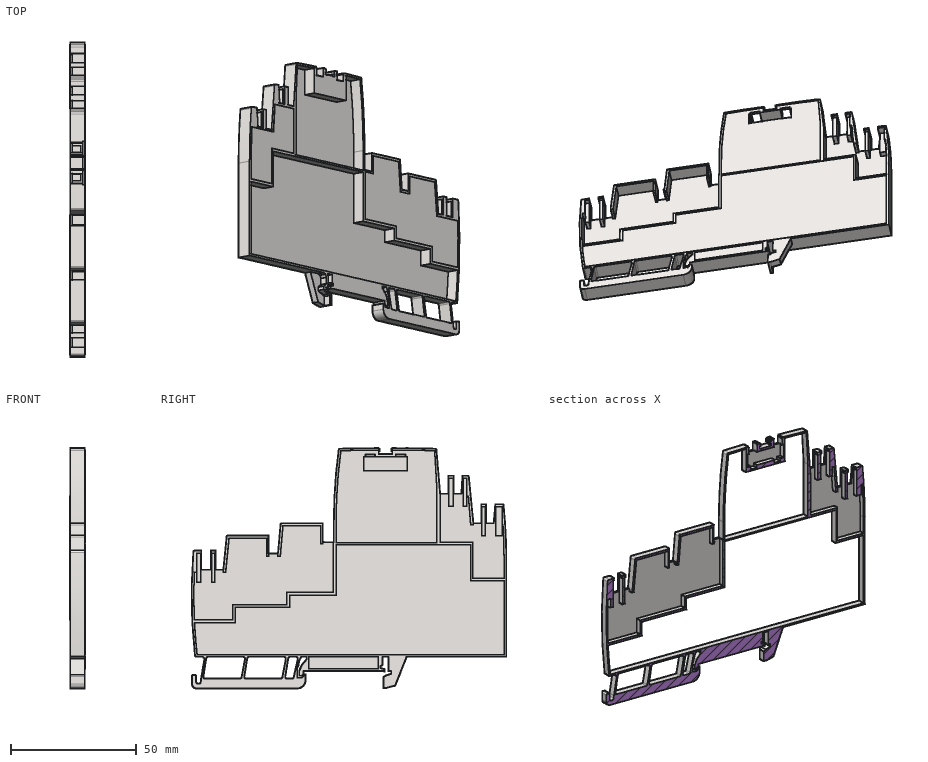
import cadquery as cq
import math

THICKNESS = 6.1
LENGTH = 125.07
HEIGHT = 95.74

PANEL_PROUD = 0.1
PLATE = 1.0
FRONT = -THICKNESS / 2
BACK = THICKNESS / 2
RIM_FRONT = FRONT + PANEL_PROUD
RIM_BACK = BACK - PANEL_PROUD
PLATE_FRONT = FRONT + PLATE
PLATE_BACK = BACK - PLATE

BASE = 12.6
WALL = 0.85
END_WALL = 0.95
FLANK_RADIUS = 215.0
CORNER = 0.7
VALLEY_FILLET = 0.4

LEFT_BOW_V = 51.0
RIGHT_BOW_V = 37.0
TOWER_RIGHT = 68.6
TOWER_BOW_V = 66.0

TOWER_LEFT_FOOT = 26.3
TOWER_LEFT_TOP = 27.8
TOWER_TOP = 95.3
TOWER_CROWN_U = 47.1
TOWER_CROWN_V = 95.6
TOWER_FLOOR = 57.85
TOWER_POCKET_LEFT = 27.7
TOWER_POCKET_BEND = 80.7
TOWER_POCKET_TOP_LEFT = 28.5

LOW_LEFT_PANEL = 65.0
HIGH_LEFT_PANEL = 76.3
RIGHT_PANEL = 46.2
LOW_LEFT_TOP = 73.3
LOW_LEFT_FLOOR = 65.75
HIGH_LEFT_TOP = 84.6
HIGH_LEFT_FLOOR = 77.4
HIGH_LEFT_EDGE = 14.95
LOW_LEFT_FLANK = 13.1
RIGHT_FLOOR = 47.3
RIGHT_TOP = 54.85
SHOULDER_1 = (72.9, 89.7, 65.75)
SHOULDER_2 = (94.4, 111.1, 60.85)
VALLEY_1 = 58.2
VALLEY_2 = 53.7
UNDER_VALLEY_1 = 57.45
UNDER_VALLEY_2 = 52.6
SHOULDER_1_FOOT = 90.75
SHOULDER_2_FOOT = 112.45

PARTITION = 1.1
LEFT_PARTITION = 0.75
PANEL_TOP_WALL = 1.1
PANEL_SIDE_WALL = 0.75
LEFT_PANEL_FLOOR = 43.85
LEFT_PANEL_RIGHT = 26.2
LEFT_STEP_U = 13.35
LEFT_STEP_V = 58.2
HIGH_LEFT_PANEL_EDGE = 15.1
RIGHT_STEPS = ((68.75, 38.25), (87.2, 33.35), (108.7, 27.3))

HEAD_LEFT = 38.6
HEAD_RIGHT = 57.45
HEAD_FLOOR = 84.6
WINDOWS = ((40.1, 43.9), (52.2, 55.95))
WINDOW_FLOOR = 92.1
BAR_BOTTOM = 92.9
WINDOW_CHAMFER = 0.35
BAR_SET_DOWN = 0.12
GROOVE_LEFT = 45.4
GROOVE_RIGHT = 50.7
GROOVE_FLOOR = 93.25
LIP_LEFT = 45.8
LIP_RIGHT = 50.3
LIP_UNDERSIDE = 94.2
LIP_TOP = 95.2
LIP_BEVEL = 0.65
LIP_BEVEL_TOP = 95.5
LIP_PEAK = 44.8
CAVITY_FLOOR = 86.6
SOCKETS = ((41.1, 43.7), (52.4, 55.1))
SOCKET_FLOOR = HEAD_FLOOR + WALL
SOCKET_BACK = 1.35


def prism(outline, x_from, x_to):
    """Extrude a (u, v) outline, a list of corners or a function that draws it, between two X positions."""
    plane = cq.Plane(origin=(x_to, LENGTH / 2, -HEIGHT / 2), xDir=(0, -1, 0), normal=(-1, 0, 0))
    depth = x_to - x_from
    if isinstance(outline, list):
        return cq.Workplane(plane).polyline(outline).close().extrude(depth)
    return outline(cq.Workplane(plane)).close().extrude(depth)


def block(u_from, u_to, v_from, v_to, x_from, x_to):
    corners = [(u_from, v_from), (u_to, v_from), (u_to, v_to), (u_from, v_to)]
    return prism(corners, x_from, x_to)


def bow(height_from_tangent):
    """How far a bowed flank has leaned inward at a height from its tangent point."""
    return FLANK_RADIUS - math.sqrt(FLANK_RADIUS**2 - height_from_tangent**2)


def left_flank(v):
    return bow(v - LEFT_BOW_V)


def right_flank(v, inset=0.0):
    return LENGTH - inset - bow(v - RIGHT_BOW_V)


def tower_flank(v, inset=0.0):
    return TOWER_RIGHT - inset - bow(v - TOWER_BOW_V)


def round_corners(solid, corners, radius):
    """Fillet the edges along X that pass through the given (u, v) corners."""
    for u, v in corners:
        nearest = cq.NearestToPointSelector((0, LENGTH / 2 - u, v - HEIGHT / 2))
        solid = solid.edges("|X").edges(nearest).fillet(radius)
    return solid


LOW_LEFT_TEETH = dict(
    pillar_top=4.45, pillar_foot=5.1, finger_near=8.1, finger_far=10.05, flank=LOW_LEFT_FLANK,
    top=LOW_LEFT_TOP, floor=LOW_LEFT_FLOOR, panel=LOW_LEFT_PANEL, pillar_rib=2.4, pillar_reach=2.1,
)
HIGH_LEFT_TEETH = dict(
    pillar_top=17.5, pillar_foot=17.95, finger_near=20.9, finger_far=23.2, flank=TOWER_LEFT_FOOT,
    top=HIGH_LEFT_TOP, floor=HIGH_LEFT_FLOOR, panel=HIGH_LEFT_PANEL, pillar_rib=1.5, pillar_reach=3.4,
)
RIGHT_TEETH = dict(
    pillar_top=121.1, pillar_foot=121.1, finger_near=117.4, finger_far=115.45, flank=SHOULDER_2_FOOT,
    top=RIGHT_TOP, floor=RIGHT_FLOOR, panel=RIGHT_PANEL, pillar_rib=1.5, pillar_reach=3.4,
)
CAP = 1.0
SIDE_RELIEF = 0.3
FINGER_REACH = 4.0
RIB_DROP = 5.0


def body_outline(wp):
    """Outline of the body with sharp corners; the first slot of each tooth group is cut later."""
    middle = (LEFT_BOW_V + LOW_LEFT_TOP) / 2
    wp = wp.moveTo(0, BASE).lineTo(0, LEFT_BOW_V)
    wp = wp.threePointArc((left_flank(middle), middle), (left_flank(LOW_LEFT_TOP), LOW_LEFT_TOP))
    low_finger = LOW_LEFT_TEETH["finger_far"]
    wp = wp.lineTo(low_finger, LOW_LEFT_TOP).lineTo(low_finger, LOW_LEFT_FLOOR)
    wp = wp.lineTo(LOW_LEFT_FLANK, LOW_LEFT_FLOOR).lineTo(HIGH_LEFT_EDGE, HIGH_LEFT_TOP)
    high_finger = HIGH_LEFT_TEETH["finger_far"]
    wp = wp.lineTo(high_finger, HIGH_LEFT_TOP).lineTo(high_finger, HIGH_LEFT_FLOOR)
    middle = (TOWER_TOP + TOWER_BOW_V) / 2
    wp = wp.lineTo(TOWER_LEFT_FOOT, HIGH_LEFT_FLOOR).lineTo(TOWER_LEFT_TOP, TOWER_TOP)
    wp = wp.threePointArc((TOWER_CROWN_U, TOWER_CROWN_V), (tower_flank(TOWER_TOP), TOWER_TOP))
    wp = wp.threePointArc((tower_flank(middle), middle), (TOWER_RIGHT, TOWER_BOW_V))
    wp = wp.lineTo(TOWER_RIGHT, VALLEY_1)
    for (left, right, top), foot, floor, next_floor in (
        (SHOULDER_1, SHOULDER_1_FOOT, VALLEY_1, VALLEY_2),
        (SHOULDER_2, SHOULDER_2_FOOT, VALLEY_2, RIGHT_FLOOR),
    ):
        wp = wp.lineTo(left, floor).lineTo(left, top).lineTo(right, top).lineTo(foot, next_floor)
    right_finger = RIGHT_TEETH["finger_far"]
    wp = wp.lineTo(right_finger, RIGHT_FLOOR).lineTo(right_finger, RIGHT_TOP)
    wp = wp.lineTo(right_flank(RIGHT_TOP), RIGHT_TOP)
    return wp.threePointArc((LENGTH, RIGHT_BOW_V), (right_flank(BASE), BASE))


def body_blank():
    blank = prism(body_outline, RIM_FRONT, RIM_BACK)
    outer_corners = [
        (left_flank(LOW_LEFT_TOP), LOW_LEFT_TOP),
        (HIGH_LEFT_EDGE, HIGH_LEFT_TOP),
        (TOWER_LEFT_TOP, TOWER_TOP),
        (tower_flank(TOWER_TOP), TOWER_TOP),
        SHOULDER_1[1:],
        SHOULDER_2[1:],
        (right_flank(RIGHT_TOP), RIGHT_TOP),
        (right_flank(BASE), BASE),
    ]
    valley_corners = [(SHOULDER_1[0], VALLEY_1), (SHOULDER_1_FOOT, VALLEY_2)]
    blank = round_corners(blank, outer_corners, CORNER)
    return round_corners(blank, valley_corners, VALLEY_FILLET)


def main_panel(wp):
    """Large lower pocket, stepped along the undersides of the two side panels."""
    floor = BASE + WALL
    left_step = LEFT_STEP_U + LEFT_PARTITION
    wp = wp.moveTo(END_WALL, floor).lineTo(END_WALL, LEFT_PANEL_FLOOR - PARTITION)
    wp = wp.lineTo(left_step, LEFT_PANEL_FLOOR - PARTITION).lineTo(left_step, LEFT_STEP_V - PARTITION)
    top = LEFT_STEP_V - PARTITION
    for step_u, step_v in RIGHT_STEPS:
        wp = wp.lineTo(step_u - PARTITION, top)
        top = step_v - PARTITION
        wp = wp.lineTo(step_u - PARTITION, top)
    wp = wp.lineTo(right_flank(top, END_WALL), top)
    middle = (top + floor) / 2
    return wp.threePointArc((right_flank(middle, END_WALL), middle), (right_flank(floor, END_WALL), floor))


def tower_panel(wp):
    top = TOWER_TOP - WALL
    right = TOWER_RIGHT - END_WALL
    middle = (top + TOWER_BOW_V) / 2
    wp = wp.moveTo(TOWER_POCKET_LEFT, TOWER_FLOOR).lineTo(TOWER_POCKET_LEFT, TOWER_POCKET_BEND)
    wp = wp.lineTo(TOWER_POCKET_TOP_LEFT, top)
    wp = wp.threePointArc((TOWER_CROWN_U, TOWER_CROWN_V - WALL), (tower_flank(top, END_WALL), top))
    wp = wp.threePointArc((tower_flank(middle, END_WALL), middle), (right, TOWER_BOW_V))
    return wp.lineTo(right, TOWER_FLOOR)


def left_panel(wp):
    """L-shaped panel below the two left steps."""
    middle = (LEFT_BOW_V + LOW_LEFT_PANEL) / 2
    wp = wp.moveTo(END_WALL, LEFT_PANEL_FLOOR).lineTo(END_WALL, LEFT_BOW_V)
    wp = wp.threePointArc(
        (left_flank(middle) + END_WALL, middle), (left_flank(LOW_LEFT_PANEL) + END_WALL, LOW_LEFT_PANEL)
    )
    wp = wp.lineTo(LOW_LEFT_FLANK + PANEL_TOP_WALL, LOW_LEFT_PANEL)
    wp = wp.lineTo(HIGH_LEFT_PANEL_EDGE, HIGH_LEFT_PANEL).lineTo(LEFT_PANEL_RIGHT, HIGH_LEFT_PANEL)
    wp = wp.lineTo(LEFT_PANEL_RIGHT, LEFT_STEP_V).lineTo(LEFT_STEP_U, LEFT_STEP_V)
    return wp.lineTo(LEFT_STEP_U, LEFT_PANEL_FLOOR)


def right_panel(wp):
    """Panel below the shoulders and the right step, stepped along its underside."""
    start, bottom = RIGHT_STEPS[0]
    wp = wp.moveTo(start, bottom).lineTo(start, UNDER_VALLEY_1)
    for (left, right, top), foot, under_left, under_right in (
        (SHOULDER_1, SHOULDER_1_FOOT, UNDER_VALLEY_1, UNDER_VALLEY_2),
        (SHOULDER_2, SHOULDER_2_FOOT, UNDER_VALLEY_2, RIGHT_PANEL),
    ):
        panel_top = top - PANEL_TOP_WALL
        wp = wp.lineTo(left + PANEL_SIDE_WALL, under_left).lineTo(left + PANEL_SIDE_WALL, panel_top)
        wp = wp.lineTo(right - END_WALL, panel_top).lineTo(foot - END_WALL, under_right)
    end_bottom = RIGHT_STEPS[-1][1]
    wp = wp.lineTo(right_flank(RIGHT_PANEL, END_WALL), RIGHT_PANEL)
    wp = wp.threePointArc(
        (LENGTH - END_WALL, RIGHT_BOW_V), (right_flank(end_bottom, END_WALL), end_bottom)
    )
    for (_, upper), (step_u, lower) in zip(RIGHT_STEPS[-2::-1], RIGHT_STEPS[:0:-1]):
        wp = wp.lineTo(step_u, lower).lineTo(step_u, upper)
    return wp


def front_panel(part, outline):
    """Plate on the -X side with a cavity behind it, open toward +X."""
    part = part.cut(prism(outline, PLATE_FRONT, BACK))
    return part.union(prism(outline, FRONT, PLATE_FRONT))


def cut_teeth(part, teeth):
    top = teeth["top"]
    floor = teeth["floor"]
    near = teeth["finger_near"]
    far = teeth["finger_far"]
    side = math.copysign(1, near - teeth["pillar_foot"])
    above = top + CAP
    under_cap = top - CAP
    slot = [
        (teeth["pillar_foot"], floor), (near, floor), (near, above),
        (teeth["pillar_top"], above), (teeth["pillar_top"], top),
    ]
    part = part.cut(prism(slot, RIM_FRONT, RIM_BACK))
    rib_face = teeth["pillar_top"] - side * SIDE_RELIEF
    rib_back = rib_face - side * teeth["pillar_rib"]
    part = part.cut(block(rib_back, teeth["flank"], teeth["panel"], floor, PLATE_FRONT, BACK))
    part = part.cut(block(rib_back, far, floor, under_cap, PLATE_FRONT, BACK))
    finger_faces = (near + side * SIDE_RELIEF, far - side * SIDE_RELIEF)
    pillar_faces = (rib_back, rib_face)
    for (start, end), reach in ((pillar_faces, teeth["pillar_reach"]), (finger_faces, FINGER_REACH)):
        rib = block(start, end, floor - RIB_DROP, under_cap, PLATE_FRONT, PLATE_FRONT + reach)
        part = part.union(rib)
    return part


def cut_head(part):
    """Clamp windows, marker groove and cavity in the tower head."""
    above = HEIGHT + CAP
    inner_left = HEAD_LEFT + WALL
    inner_right = HEAD_RIGHT - WALL
    part = part.cut(block(inner_left, inner_right, CAVITY_FLOOR, WINDOW_FLOOR, PLATE_FRONT, BACK))
    for left, right in SOCKETS:
        part = part.cut(block(left, right, SOCKET_FLOOR, CAVITY_FLOOR, PLATE_FRONT, SOCKET_BACK))
    for left, right in WINDOWS:
        part = part.cut(block(left, right, WINDOW_FLOOR, above, RIM_FRONT, PLATE_BACK))
        part = part.cut(block(left, right, WINDOW_FLOOR, BAR_BOTTOM, PLATE_FRONT, BACK))
    outer_edges = ((WINDOWS[0][0], -WINDOW_CHAMFER), (WINDOWS[1][1], WINDOW_CHAMFER))
    for edge, run in outer_edges:
        bevel = [
            (edge, TOWER_TOP - WINDOW_CHAMFER), (edge, above),
            (edge + run, above), (edge + run, TOWER_TOP),
        ]
        part = part.cut(prism(bevel, RIM_FRONT, PLATE_BACK))
    bar_top = TOWER_CROWN_V - BAR_SET_DOWN
    part = part.cut(block(inner_left, inner_right, bar_top, above, PLATE_BACK, BACK))
    lip = [(WINDOWS[0][1], LIP_TOP), (WINDOWS[0][1], HEIGHT), (LIP_PEAK, HEIGHT), (LIP_LEFT, LIP_TOP)]
    part = part.union(prism(lip, RIM_FRONT, PLATE_BACK))
    groove = [
        (GROOVE_LEFT, GROOVE_FLOOR), (GROOVE_RIGHT, GROOVE_FLOOR), (GROOVE_RIGHT, LIP_UNDERSIDE),
        (LIP_RIGHT, LIP_UNDERSIDE), (LIP_RIGHT, LIP_TOP), (LIP_RIGHT + LIP_BEVEL, LIP_BEVEL_TOP),
        (LIP_RIGHT + LIP_BEVEL, above), (LIP_LEFT - LIP_BEVEL, above),
        (LIP_LEFT - LIP_BEVEL, LIP_BEVEL_TOP), (LIP_LEFT, LIP_TOP), (LIP_LEFT, LIP_UNDERSIDE),
        (GROOVE_LEFT, LIP_UNDERSIDE),
    ]
    part = part.cut(prism(groove, RIM_FRONT, BACK))
    bar_groove_floor = GROOVE_FLOOR - BAR_SET_DOWN
    return part.cut(block(GROOVE_LEFT, GROOVE_RIGHT, bar_groove_floor, GROOVE_FLOOR, PLATE_BACK, BACK))


RAIL_FACE = 6.95
FOOT_BAR_TOP = 4.1
SLOT_LEFT = 46.85
SLOT_RIGHT = 49.15
WEB_PANEL_LEFT = 50.9
WEB_PANEL_RIGHT = 78.5
STRIP_END = (47.9, 0.2)
WEDGE_FRONT = 0.0
BAR_NOSE = (79.7, 0)
BAR_NOSE_RADIUS = 3.5
BAR_HEEL_RADIUS = 1.9
HEEL_LEFT = 123.2
HEEL_TOP = 5.5
HEEL_SLOT_LEFT = 121.5
HEEL_SLOT_FLOOR = 2.0
HEEL_SLOT_RADIUS = 0.75
HEEL_TIP_RADIUS = 0.6
FOOT_RIGHT = 124.9
CELL_FILLET = 0.4
CELLS = (
    ((82.7, 86.5), (84.6, 87.9)),
    ((87.5, 102.8), (89.1, 104.15)),
    ((103.7, 119.1), (105.3, 120.4)),
)


def spring_hook():
    """Full-depth spring strip, backed by a wedge in the +X half."""
    shared_edge = [
        (44.1, BASE), (45.2, 12.1), (45.8, 10.9), (45.8, 8.4), (44.2, 7.1), (44.2, 5.8),
        (45.1, 5.2), (47.2, 4.5), (47.9, 3.9), STRIP_END,
    ]
    strip_right = [
        (48.9, STRIP_END[1]), (48.9, 4.5), (48.0, 5.2), (45.8, 5.95), (45.8, RAIL_FACE),
        (SLOT_LEFT, RAIL_FACE), (SLOT_LEFT, BASE),
    ]
    wedge_left = [(44.15, 1.15), (39.6, BASE)]
    strip = prism(shared_edge + strip_right, RIM_FRONT, RIM_BACK)
    return strip.union(prism(shared_edge + wedge_left, WEDGE_FRONT, RIM_BACK))


def rail_web():
    outline = [
        (SLOT_RIGHT, BASE), (SLOT_RIGHT, 9.4), (50.0, 8.9), (50.0, 8.2), (48.4, 7.75), (48.4, 6.7),
        (49.2, RAIL_FACE), (80.5, RAIL_FACE), (80.5, 5.8), (81.1, 5.1), (82.35, 5.1), (82.35, 7.0),
        (81.3, 9.4), (79.3, 11.75), (79.3, BASE),
    ]
    web = prism(outline, RIM_FRONT, RIM_BACK)
    web_panel = block(WEB_PANEL_LEFT, WEB_PANEL_RIGHT, RAIL_FACE + WALL, BASE, RIM_BACK, BACK)
    return web.union(web_panel)


def foot_bar():
    """Bar hung on slanted legs, hooked up around the web at one end and with a heel at the other."""
    heel_corner = (FOOT_RIGHT, 0)
    heel_slot = [(HEEL_SLOT_LEFT, HEEL_SLOT_FLOOR), (HEEL_LEFT, HEEL_SLOT_FLOOR)]
    heel_tip = [(HEEL_LEFT, HEEL_TOP), (FOOT_RIGHT, HEEL_TOP)]
    outline = [
        (81.5, BASE), (82.3, 11.0), (82.5, 9.4), (83.05, 8.2), (83.05, 4.4), (81.3, 4.4), (80.7, 4.9),
        (80.6, 5.8), (79.7, 5.8), BAR_NOSE, heel_corner, heel_tip[1], heel_tip[0],
        heel_slot[1], heel_slot[0], (121.3, 3.9), (119.95, 11.9), (120.6, BASE),
    ]
    bar = prism(outline, RIM_FRONT, RIM_BACK)
    bar = round_corners(bar, [BAR_NOSE], BAR_NOSE_RADIUS)
    bar = round_corners(bar, [heel_corner], BAR_HEEL_RADIUS)
    bar = round_corners(bar, heel_slot, HEEL_SLOT_RADIUS)
    bar = round_corners(bar, heel_tip, HEEL_TIP_RADIUS)
    for (top_left, top_right), (bottom_left, bottom_right) in CELLS:
        bottom = [(bottom_left, FOOT_BAR_TOP), (bottom_right, FOOT_BAR_TOP)]
        top = [(top_right, BASE), (top_left, BASE)]
        cell = prism(bottom + top, RIM_FRONT, RIM_BACK)
        cell = round_corners(cell, bottom, CELL_FILLET)
        cell = round_corners(cell, top, CORNER)
        bar = bar.cut(cell)
    return bar


def build():
    part = body_blank()
    head = block(HEAD_LEFT, HEAD_RIGHT, HEAD_FLOOR, HEIGHT, RIM_FRONT, PLATE_BACK)
    for outline in (main_panel, tower_panel):
        part = part.cut(prism(outline, RIM_FRONT, PLATE_BACK).cut(head))
        part = part.union(prism(outline, PLATE_BACK, BACK))
    for outline in (left_panel, right_panel):
        part = front_panel(part, outline)
    for teeth in (LOW_LEFT_TEETH, HIGH_LEFT_TEETH, RIGHT_TEETH):
        part = cut_teeth(part, teeth)
    for left, right, bottom, top in (
        (RIGHT_STEPS[0][0], SHOULDER_1[0], UNDER_VALLEY_1, VALLEY_1),
        (SHOULDER_1_FOOT, SHOULDER_2[0], UNDER_VALLEY_2, VALLEY_2),
    ):
        part = part.cut(block(left, right, bottom, top, PLATE_FRONT, BACK))
    part = cut_head(part)
    for foot_part in (spring_hook(), rail_web(), foot_bar()):
        part = part.union(foot_part)
    return part


result = build()